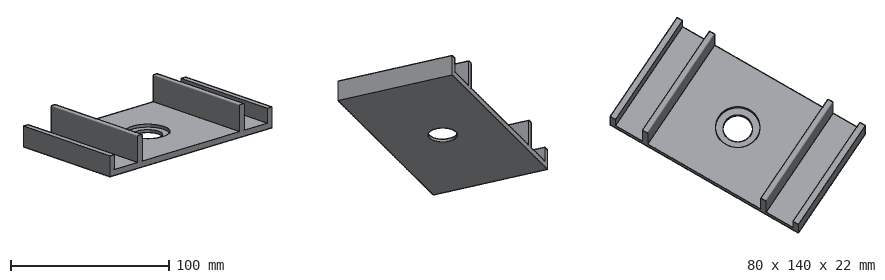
import cadquery as cq

length_x = 80.0
width_y = 140.0
thickness = 4.0

edge_wall_height = 14.0
rib_height = 22.0
rib_outer_face = 46.0
rib_edge_radius = 0.8

hole_diameter = 18.5
counterbore_diameter = 28.0
counterbore_depth = thickness / 2


def wall(outer_face, height):
    """Wall along X on the +Y half, with its far side at outer_face."""
    return cq.Workplane("XY").box(length_x, thickness, height, centered=(True, False, False)).translate(
        (0, outer_face - thickness, 0)
    )


plate = cq.Workplane("XY").box(length_x, width_y, thickness, centered=(True, True, False))
edge_wall = wall(width_y / 2, edge_wall_height)
rib = wall(rib_outer_face, rib_height).faces(">Z").edges("|X").fillet(rib_edge_radius)

result = plate
for upright in (edge_wall, rib):
    result = result.union(upright).union(upright.mirror("XZ"))

hole = cq.Workplane("XY").circle(hole_diameter / 2).extrude(thickness)
counterbore = (
    cq.Workplane("XY")
    .workplane(offset=thickness - counterbore_depth)
    .circle(counterbore_diameter / 2)
    .extrude(counterbore_depth)
)
result = result.cut(hole).cut(counterbore)